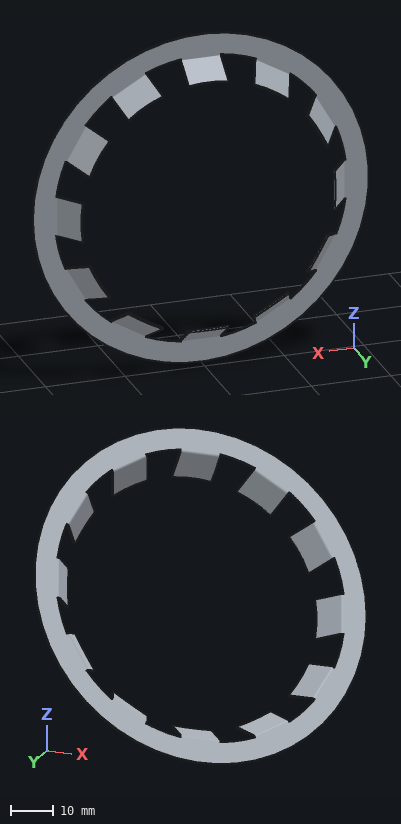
import cadquery as cq
import math

outer_radius = 42.2
inner_radius = 36.7
thickness = 0.5
total_depth = 6.3

tab_count = 12
tab_pitch = 360 / tab_count
tab_width = 10.05
bend_angle = 53.0
bend_start = 36.2
inner_bend_radius = 0.2
tip_sag = 0.4

half_width = tab_width / 2
outer_bend_radius = inner_bend_radius + thickness
bend_sin = math.sin(math.radians(bend_angle))
bend_cos = math.cos(math.radians(bend_angle))
leg_length = (total_depth - outer_bend_radius + inner_bend_radius * bend_cos) / bend_sin


def bend_point(radius, angle):
    """Point (Y, Z) on a bend arc of the tab at the top of the ring."""
    turn = math.radians(angle)
    return (outer_bend_radius - radius * math.cos(turn), bend_start - radius * math.sin(turn))


def make_ring():
    """Flat annulus whose front face is at Y = 0."""
    return cq.Workplane("XZ").circle(outer_radius).circle(inner_radius).extrude(-thickness)


def make_bend():
    """Flat root strip from the ring to the bend line, followed by the curved bend."""
    return (
        cq.Workplane("YZ")
        .moveTo(0, inner_radius)
        .lineTo(*bend_point(outer_bend_radius, 0))
        .threePointArc(
            bend_point(outer_bend_radius, bend_angle / 2),
            bend_point(outer_bend_radius, bend_angle),
        )
        .lineTo(*bend_point(inner_bend_radius, bend_angle))
        .threePointArc(
            bend_point(inner_bend_radius, bend_angle / 2),
            bend_point(inner_bend_radius, 0),
        )
        .lineTo(thickness, inner_radius)
        .close()
        .extrude(half_width, both=True)
        .intersect(cq.Workplane("XZ").circle(inner_radius).extrude(-total_depth))
    )


def make_leg():
    """Straight plate beyond the bend, ending in a shallow concave arc."""
    start_y, start_z = bend_point(outer_bend_radius, bend_angle)
    leg_plane = cq.Plane(
        origin=(0, start_y, start_z),
        xDir=(1, 0, 0),
        normal=(0, bend_cos, bend_sin),
    )
    return (
        cq.Workplane(leg_plane)
        .moveTo(-half_width, 0)
        .lineTo(-half_width, leg_length)
        .threePointArc((0, leg_length - tip_sag), (half_width, leg_length))
        .lineTo(half_width, 0)
        .close()
        .extrude(thickness)
    )


tab = make_bend().union(make_leg())
result = make_ring()
for index in range(tab_count):
    result = result.union(tab.rotate((0, 0, 0), (0, 1, 0), index * tab_pitch))